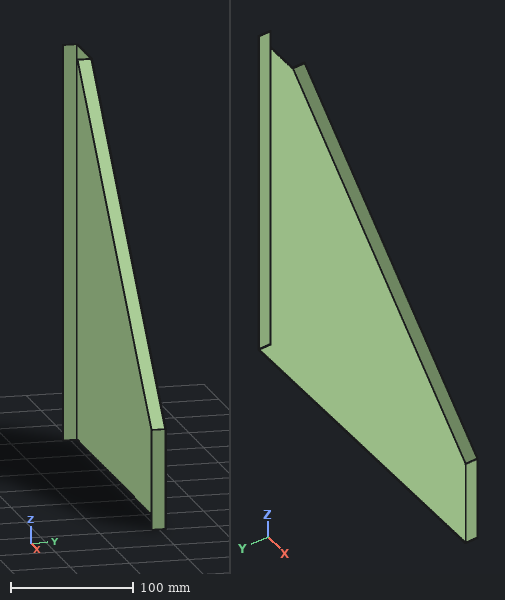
import cadquery as cq

width = 300.0
height = 334.5
depth = 12.5
thickness = 0.8
bend_radius = 0.7
top_edge = 50.0

right_edge = height - (width - top_edge)

panel_outline = [
    (0, 0),
    (width, 0),
    (width, right_edge),
    (top_edge, height),
    (0, height),
]


def extrude_outline(points, front, length):
    """Extrude an XZ outline towards +Y, starting at y = front."""
    return cq.Workplane("XZ", origin=(0, front, 0)).polyline(points).close().extrude(-length)


def upright_flange(left, flange_height):
    """Flange along a vertical edge of the panel."""
    return cq.Workplane("XY").box(thickness, depth, flange_height, centered=False).translate((left, 0, 0))


def sloping_flange():
    """Flange along the 45 degree edge, kept inside the panel outline."""
    inset = thickness * 2**0.5
    points = [
        (top_edge - inset, height),
        (top_edge, height),
        (width, right_edge),
        (width, right_edge - inset),
    ]
    return extrude_outline(points, 0, depth)


panel = extrude_outline(panel_outline, depth - thickness, thickness)
left_flange = upright_flange(0, height)
right_flange = upright_flange(width - thickness, right_edge)

folded_sheet = panel.union(left_flange).union(right_flange).union(sloping_flange())

bend_middles = [
    (0, depth, height / 2),
    (width, depth, right_edge / 2),
    ((top_edge + width) / 2, depth, (height + right_edge) / 2),
]
bends = cq.Workplane()
for middle in bend_middles:
    bends = bends.add(folded_sheet.edges(cq.selectors.NearestToPointSelector(middle)).val())

rounded_sheet = folded_sheet.val().fillet(bend_radius, bends.vals())
result = cq.Workplane(rounded_sheet.Solids()[0])